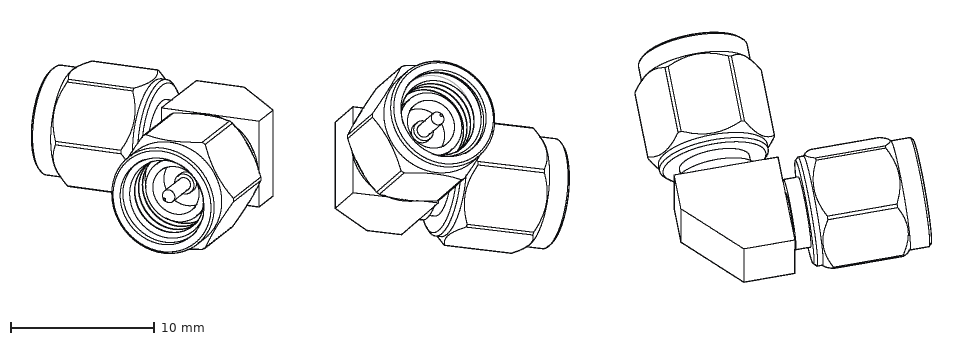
import cadquery as cq
import math


BLOCK_HALF = 3.175
BLOCK_X_REACH = 4.22
BLOCK_CORNER_CUT = 3.77

X_OPENING = 13.84
Y_OPENING = 13.13

NUT_LENGTH = 8.35
HEX_FLATS = 7.92
HEX_CORNER_RADIUS = 4.5
COLLAR_RADIUS = 3.88
FRONT_COLLAR_LENGTH = 1.54
BACK_COLLAR_LENGTH = 0.61
FRONT_CHAMFER = 0.17
BACK_CHAMFER = 0.22

RELIEF_RADIUS = 3.175
RELIEF_DEPTH = 0.5
BORE_RADIUS = 2.68
FLOOR_DEPTH = 3.5
THREAD_PITCH = 0.7056
THREAD_ROOT_RADIUS = 3.15
THREAD_HALF_ANGLE = math.radians(30)
THREAD_TURNS = 6
THREAD_OVERLAP = 0.04
THREAD_PHASE = 0.25
THREAD_ROOT_FLAT = 0.08

TUBE_DEPTH = 2.53
TUBE_RADIUS = 2.3
TUBE_BORE_RADIUS = 1.755
SOCKET_LENGTH = 2.0
SOCKET_DEPTH = TUBE_DEPTH + SOCKET_LENGTH
PIN_RADIUS = 0.47
PIN_TIP_RADIUS = 0.09
PIN_TIP_DEPTH = 0.45
PIN_TAPER_LENGTH = 0.75
PIN_SHOULDER_RADIUS = 0.73
PIN_SHOULDER_HEIGHT = 0.5

NECK_RADIUS = 2.5
X_NECK_END = 4.44
X_STEM_RADIUS = 1.55
Y_NECK_END = 3.9
Y_FLANGE_RADIUS = 2.87
BLOCK_OVERLAP = 0.5


def cylinder(radius, start, end):
    """Solid cylinder on the local Z axis between two depths."""
    return cq.Workplane("XY").workplane(offset=start).circle(radius).extrude(end - start)


def revolve_profile(points):
    """Revolve (radius, depth) points about the local Z axis.

    The profile lies on the -X side, opposite the start of the thread, so that the seam of the
    revolved faces stays clear of the seam of the helical groove.
    """
    mirrored = [(-radius, depth) for radius, depth in points]
    return cq.Workplane("XZ").polyline(mirrored).close().revolve(360, (0, 0, 0), (0, 1, 0))


def nut_body():
    """Hexagon with bevelled ends between two round collars."""
    bevel = HEX_CORNER_RADIUS - COLLAR_RADIUS
    hex_start = FRONT_COLLAR_LENGTH
    hex_end = NUT_LENGTH - BACK_COLLAR_LENGTH
    envelope = revolve_profile([
        (0, 0),
        (COLLAR_RADIUS - FRONT_CHAMFER, 0),
        (COLLAR_RADIUS, FRONT_CHAMFER),
        (COLLAR_RADIUS, hex_start),
        (HEX_CORNER_RADIUS, hex_start + bevel),
        (HEX_CORNER_RADIUS, hex_end - bevel),
        (COLLAR_RADIUS, hex_end),
        (COLLAR_RADIUS, NUT_LENGTH - BACK_CHAMFER),
        (COLLAR_RADIUS - BACK_CHAMFER, NUT_LENGTH),
        (0, NUT_LENGTH),
    ])
    hexagon_diameter = HEX_FLATS / math.cos(math.radians(30))
    prism = cq.Workplane("XY").polygon(6, hexagon_diameter).extrude(NUT_LENGTH)
    return envelope.intersect(prism)


def thread_groove():
    """Right-hand groove that winds from the opening into the bore."""
    start = RELIEF_DEPTH + THREAD_PHASE - THREAD_PITCH
    inner_radius = BORE_RADIUS - THREAD_OVERLAP
    half_root = THREAD_ROOT_FLAT / 2
    half_mouth = half_root + (THREAD_ROOT_RADIUS - inner_radius) * math.tan(THREAD_HALF_ANGLE)
    path = cq.Wire.makeHelix(
        THREAD_PITCH, THREAD_PITCH * THREAD_TURNS, inner_radius, cq.Vector(0, 0, start)
    )
    profile = cq.Workplane("XZ").polyline([
        (inner_radius, start - half_mouth),
        (THREAD_ROOT_RADIUS, start - half_root),
        (THREAD_ROOT_RADIUS, start + half_root),
        (inner_radius, start + half_mouth),
    ]).close()
    return profile.sweep(cq.Workplane(obj=path), isFrenet=True)


def nut_cavity():
    """Relief, 45 degree lead-in and bore, reaching past the last thread turn."""
    lead_end = RELIEF_DEPTH + RELIEF_RADIUS - BORE_RADIUS
    cavity_end = THREAD_PITCH * (THREAD_TURNS + 1)
    return revolve_profile([
        (0, 0),
        (RELIEF_RADIUS, 0),
        (RELIEF_RADIUS, RELIEF_DEPTH),
        (BORE_RADIUS, lead_end),
        (BORE_RADIUS, cavity_end),
        (0, cavity_end),
    ])


def connector_core():
    """Filling that closes the bore, with the contact tube, socket and pin standing in it."""
    filling = cylinder(RELIEF_RADIUS, FLOOR_DEPTH, NUT_LENGTH - BACK_CHAMFER)
    tube = cylinder(TUBE_RADIUS, TUBE_DEPTH, NUT_LENGTH - BACK_CHAMFER)
    core = filling.union(tube)
    core = core.cut(cylinder(TUBE_BORE_RADIUS, TUBE_DEPTH, SOCKET_DEPTH))
    pin = revolve_profile([
        (0, PIN_TIP_DEPTH),
        (PIN_TIP_RADIUS, PIN_TIP_DEPTH),
        (PIN_RADIUS, PIN_TIP_DEPTH + PIN_TAPER_LENGTH),
        (PIN_RADIUS, SOCKET_DEPTH - PIN_SHOULDER_HEIGHT),
        (PIN_SHOULDER_RADIUS, SOCKET_DEPTH - PIN_SHOULDER_HEIGHT),
        (PIN_SHOULDER_RADIUS, SOCKET_DEPTH + PIN_SHOULDER_HEIGHT),
        (0, SOCKET_DEPTH + PIN_SHOULDER_HEIGHT),
    ])
    return core.union(pin)


def connector():
    """Connector on the local Z axis: opening at zero, depth growing along +Z."""
    nut = nut_body().cut(nut_cavity()).cut(thread_groove())
    return nut.union(connector_core())


def placed(solid, opening, x_direction, depth_direction):
    """Move a local solid so that its opening sits at the given point."""
    frame = cq.Plane(origin=opening, xDir=x_direction, normal=depth_direction)
    return cq.Workplane(obj=solid.val().located(cq.Location(frame)))


def elbow_block():
    """Square block whose outer corner is cut at 45 degrees."""
    return (
        cq.Workplane("XY")
        .box(BLOCK_X_REACH + BLOCK_HALF, 2 * BLOCK_HALF, 2 * BLOCK_HALF)
        .translate(((BLOCK_HALF - BLOCK_X_REACH) / 2, 0, 0))
        .edges("|Z and >X and >Y")
        .chamfer(BLOCK_CORNER_CUT)
    )


def add_neck(solid, opening_distance, neck_end):
    """Extend the core out of the back of the nut as a round neck."""
    neck_start = SOCKET_DEPTH + PIN_SHOULDER_HEIGHT
    return solid.union(cylinder(NECK_RADIUS, neck_start, opening_distance - neck_end))


plain_connector = connector()

x_connector = add_neck(plain_connector, X_OPENING, X_NECK_END)
x_stem_end = X_OPENING - BLOCK_X_REACH + BLOCK_OVERLAP
x_connector = x_connector.union(cylinder(X_STEM_RADIUS, NUT_LENGTH, x_stem_end))

y_connector = add_neck(plain_connector, Y_OPENING, Y_NECK_END)
y_flange_end = Y_OPENING - BLOCK_HALF + BLOCK_OVERLAP
y_connector = y_connector.union(cylinder(Y_FLANGE_RADIUS, Y_OPENING - Y_NECK_END, y_flange_end))

result = (
    elbow_block()
    .union(placed(x_connector, (-X_OPENING, 0, 0), (0, -1, 0), (1, 0, 0)))
    .union(placed(y_connector, (0, -Y_OPENING, 0), (1, 0, 0), (0, 1, 0)))
)